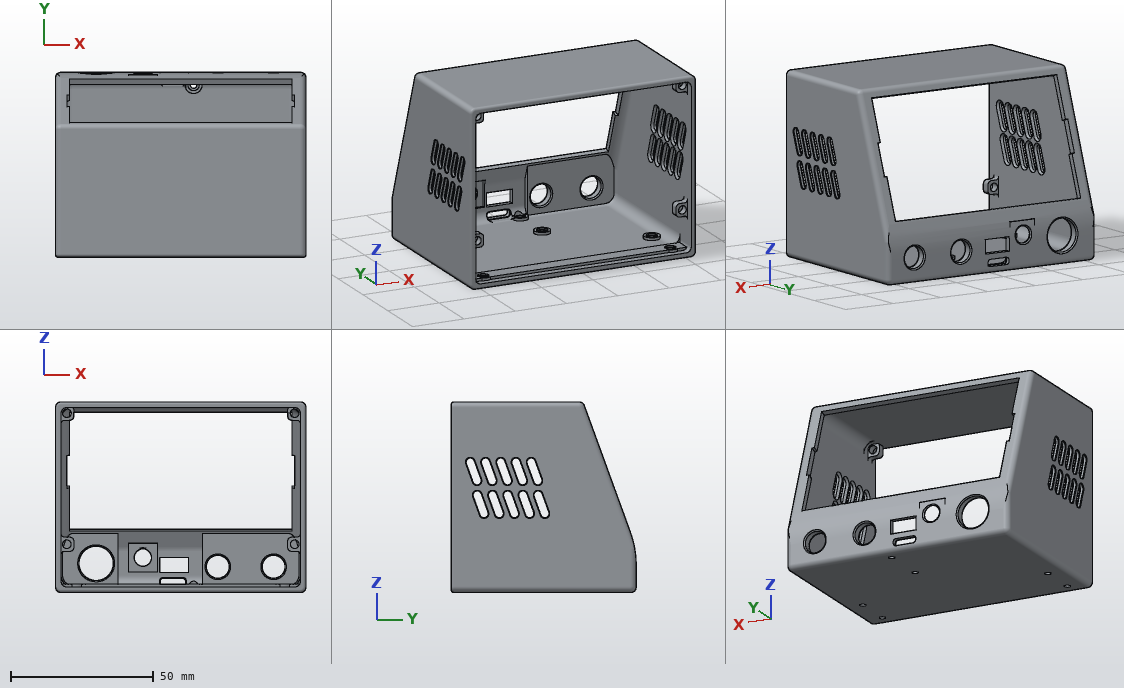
import cadquery as cq
import math


WIDTH = 88.0
DEPTH = 65.0
HEIGHT = 67.0
WALL = 2.0
SLOPE = math.radians(20.0)
BEND_Z = 15.6
BEND_RADIUS = 35.0
OUTER_RADIUS = 2.0
REAR_EDGE_RADIUS = 1.0
INNER_RADIUS = 4.0

MOUTH_DEPTH = 9.0
MOUTH_RADIUS = 2.0
LID_DEPTH = 3.0
SILL_RISE = 1.0

BOSS_X = 40.0
BOSS_REACH = 37.5
BOSS_SIZE = 5.0
BOSS_LENGTH = 3.0
BOSS_HOLE_DIAMETER = 3.0
BOSS_CORNER_RADIUS = 1.5
BOSS_ROOT_RADIUS = 1.2
LOWER_BOSS_Z = 17.0
UPPER_BOSS_Z = 63.0

WINDOW_WIDTH = 78.0
WINDOW_LENGTH = 44.4
WINDOW_Z = 43.2
NOTCH_WIDTH = 80.0
NOTCH_LENGTH = 12.2

PAD_Y = 61.0
PAD_GAP_LEFT = -22.0
PAD_GAP_RIGHT = 7.6
HOLE_CHAMFER = 0.5
PAD_HOLES = [(-29.7, 10.3, 12.0), (13.0, 9.1, 8.0), (32.6, 9.1, 8.0)]
BUTTON_X = -13.3
BUTTON_Z = 12.3
BUTTON_DIAMETER = 6.0
BUTTON_POCKET = 10.2
BUTTON_POCKET_Y = 64.1
SWITCH_X = -2.3
SWITCH_Z = 9.7
SWITCH_SIZE = (10.0, 5.2)
PORT_X = -2.75
PORT_Z = 3.75
PORT_SIZE = (8.8, 2.6)
PORT_RADIUS = 1.0
PORT_CHAMFER = 0.3

BOARD_HOLE_X = 36.5
BOARD_HOLE_Y = (5.5, 20.5)
FRONT_STANDOFF_X = 4.5
FRONT_STANDOFF_Y = (42.7, 60.5)
STANDOFF_DIAMETER = 6.0
STANDOFF_RISE = SILL_RISE
COUNTERBORE_DIAMETER = 4.0
COUNTERBORE_DEPTH = 0.5
SCREW_HOLE_DIAMETER = 2.25

VENT_WIDTH = 2.9
VENT_LENGTH = 9.8
VENT_PITCH = 5.34
VENT_COUNT = 5
VENT_INNER_CHAMFER = 0.8
VENT_OUTER_CHAMFER = 0.25
VENT_ROWS = [(7.9, 42.55), (10.35, 31.0)]

HALF_WIDTH = WIDTH / 2
INNER_HALF_WIDTH = HALF_WIDTH - WALL
CEILING_Z = HEIGHT - WALL
FLOOR_Z = WALL


def slope_y(z):
    """Y of the outer sloped face at height z."""
    return DEPTH - (z - BEND_Z) * math.tan(SLOPE)


def box(x0, x1, y0, y1, z0, z1):
    return cq.Workplane("XY").box(x1 - x0, y1 - y0, z1 - z0, centered=False).translate((x0, y0, z0))


def y_cylinder(x, z, diameter, y0, y1):
    return cq.Workplane("XZ", origin=(x, y0, z)).circle(diameter / 2).extrude(y0 - y1)


def z_cylinder(x, y, diameter, z0, z1):
    return cq.Workplane("XY", origin=(x, y, z0)).circle(diameter / 2).extrude(z1 - z0)


def profile_corners(inset):
    """Front bottom, bend, front top (y, z) corners of the side profile moved inwards by inset."""
    front = DEPTH - inset
    top = HEIGHT - inset
    bend_z = BEND_Z - inset * math.tan(SLOPE / 2)
    top_front = front - (top - bend_z) * math.tan(SLOPE)
    return (front, inset), (front, bend_z), (top_front, top)


def wedge(inset, bend_radius=None):
    """Prism with the side profile moved inwards by inset, its bend sharp or rounded."""
    bottom, bend, top = profile_corners(inset)
    half_width = HALF_WIDTH - inset
    prism = (
        cq.Workplane("YZ", origin=(-half_width, 0, 0))
        .polyline([(0, inset), bottom, bend, top, (0, top[1])])
        .close()
        .extrude(2 * half_width)
    )
    if bend_radius is None:
        return prism
    return prism.edges(cq.selectors.NearestToPointSelector((0, *bend))).fillet(bend_radius)


def rounded_wedge(inset, bend_radius, radius):
    """Open-backed wedge whose edges, apart from the bend and the back face, are rounded."""
    body = wedge(inset)
    side_edges = body.faces("<X or >X").edges().vals()
    cross_edges = body.edges("|X").edges("<Z or >Z").vals()
    edges = [e for e in side_edges + cross_edges if e.Center().y > radius / 2]
    rounded = body.newObject(edges).fillet(radius)
    return rounded.intersect(wedge(inset, bend_radius))


def outer_body():
    body = rounded_wedge(0, BEND_RADIUS, OUTER_RADIUS)
    return body.faces("<Y").edges().fillet(REAR_EDGE_RADIUS)


def mouth():
    """Square-cornered widening of the cavity at the back opening."""
    return box(
        -INNER_HALF_WIDTH, INNER_HALF_WIDTH, 0, MOUTH_DEPTH, FLOOR_Z, CEILING_Z
    ).edges("|Y").fillet(MOUTH_RADIUS)


def cavity():
    return rounded_wedge(WALL, INNER_RADIUS, INNER_RADIUS).union(mouth())


def front_pads():
    left = box(-HALF_WIDTH, PAD_GAP_LEFT, PAD_Y, DEPTH, 0, HEIGHT)
    right = box(PAD_GAP_RIGHT, HALF_WIDTH, PAD_Y, DEPTH, 0, HEIGHT)
    return left.union(right)


def sill():
    return box(
        -INNER_HALF_WIDTH, INNER_HALF_WIDTH, LID_DEPTH, MOUTH_DEPTH, FLOOR_Z, FLOOR_Z + SILL_RISE
    )


def boss_flare(edge_z, direction):
    """Concave rounding between a right-hand boss and its wall; direction +1 is above, -1 below."""
    radius = BOSS_ROOT_RADIUS
    far_z = edge_z + direction * radius
    back = LID_DEPTH + BOSS_LENGTH
    block = box(
        INNER_HALF_WIDTH - radius, INNER_HALF_WIDTH, LID_DEPTH, back, min(edge_z, far_z), max(edge_z, far_z)
    )
    return block.cut(y_cylinder(INNER_HALF_WIDTH - radius, far_z, 2 * radius, LID_DEPTH, back))


def bosses():
    """Four drilled lid bosses standing off the side walls, the upper pair joined to the ceiling."""
    back = LID_DEPTH + BOSS_LENGTH
    right_side = boss_flare(LOWER_BOSS_Z + BOSS_SIZE / 2, 1)
    for z in (LOWER_BOSS_Z, UPPER_BOSS_Z):
        low = z - BOSS_SIZE / 2
        post = box(BOSS_REACH, INNER_HALF_WIDTH + WALL / 2, LID_DEPTH, back, low, low + BOSS_SIZE)
        post = post.edges("|Y and <X").fillet(BOSS_CORNER_RADIUS)
        hole = y_cylinder(BOSS_X, z, BOSS_HOLE_DIAMETER, LID_DEPTH, back)
        right_side = right_side.union(post).union(boss_flare(low, -1)).cut(hole)
    return right_side.union(right_side.mirror("YZ"))


def window():
    """Display opening with a notch in each side, cut square to the sloped face."""
    face = cq.Plane(
        origin=(0, slope_y(WINDOW_Z), WINDOW_Z),
        xDir=(1, 0, 0),
        normal=(0, math.cos(SLOPE), math.sin(SLOPE)),
    )
    reach = 2 * WALL
    opening = cq.Workplane(face).rect(WINDOW_WIDTH, WINDOW_LENGTH).extrude(reach, both=True)
    notches = cq.Workplane(face).rect(NOTCH_WIDTH, NOTCH_LENGTH).extrude(reach, both=True)
    return opening.union(notches)


def pierced_front(body):
    """Cut the round front holes and bevel their outer rims, which follow the bend."""
    for x, z, diameter in PAD_HOLES + [(BUTTON_X, BUTTON_Z, BUTTON_DIAMETER)]:
        body = body.cut(y_cylinder(x, z, diameter, DEPTH / 2, DEPTH))
        reach = diameter / 2 + HOLE_CHAMFER / 2
        rim = cq.selectors.BoxSelector(
            (x - reach, PAD_Y, z - reach), (x + reach, DEPTH + WALL, z + reach), boundingbox=True
        )
        body = body.edges(rim).chamfer(HOLE_CHAMFER)
    return body


def pad_bevels():
    bevels = cq.Workplane("XY")
    for x, z, diameter in PAD_HOLES:
        rim = diameter / 2 + HOLE_CHAMFER
        bevel = cq.Workplane("XZ", origin=(x, PAD_Y, z)).circle(rim).extrude(-HOLE_CHAMFER, taper=45)
        bevels = bevels.union(bevel)
    return bevels


def panel_cut(x, z, width, height, y0):
    return box(x - width / 2, x + width / 2, y0, DEPTH, z - height / 2, z + height / 2)


def rounded_port(growth, y0, y1):
    half_x = PORT_SIZE[0] / 2 + growth
    half_z = PORT_SIZE[1] / 2 + growth
    block = box(PORT_X - half_x, PORT_X + half_x, y0, y1, PORT_Z - half_z, PORT_Z + half_z)
    return block.edges("|Y").fillet(PORT_RADIUS + growth)


def centre_cuts():
    """Push button, switch and port openings between the two pads."""
    pocket = box(
        BUTTON_X - BUTTON_POCKET / 2, BUTTON_X + BUTTON_POCKET / 2,
        DEPTH - 2 * WALL, BUTTON_POCKET_Y,
        BUTTON_Z - BUTTON_POCKET / 2, BUTTON_Z + BUTTON_POCKET / 2,
    )
    switch = panel_cut(SWITCH_X, SWITCH_Z, *SWITCH_SIZE, PAD_Y)
    port = rounded_port(0, DEPTH - WALL - INNER_RADIUS, DEPTH)
    port = port.union(rounded_port(PORT_CHAMFER, DEPTH - WALL - INNER_RADIUS, DEPTH - WALL))
    return pocket.union(switch).union(port)


def standoff_points():
    board = [(side * BOARD_HOLE_X, y) for side in (-1, 1) for y in BOARD_HOLE_Y]
    return board + [(FRONT_STANDOFF_X, y) for y in FRONT_STANDOFF_Y]


def standoffs():
    group = cq.Workplane("XY")
    for x, y in standoff_points():
        group = group.union(z_cylinder(x, y, STANDOFF_DIAMETER, WALL / 2, FLOOR_Z + STANDOFF_RISE))
    return group


def standoff_holes():
    """Counterbored screw holes, open above so that they also clear the front floor fillet."""
    holes = cq.Workplane("XY")
    top = FLOOR_Z + STANDOFF_RISE
    for x, y in standoff_points():
        screw = z_cylinder(x, y, SCREW_HOLE_DIAMETER, 0, top)
        counterbore = z_cylinder(x, y, COUNTERBORE_DIAMETER, top - COUNTERBORE_DEPTH, FLOOR_Z + INNER_RADIUS)
        holes = holes.union(screw).union(counterbore)
    return holes


def vents():
    """Two staggered rows of slots, parallel to the display slope, through both side walls."""
    tilt = 90 + math.degrees(SLOPE)
    points = [(y + i * VENT_PITCH, z) for y, z in VENT_ROWS for i in range(VENT_COUNT)]

    def slots(x, growth, length, taper):
        plane = cq.Workplane("YZ", origin=(x, 0, 0)).pushPoints(points)
        return plane.slot2D(VENT_LENGTH + growth, VENT_WIDTH + growth, tilt).extrude(length, taper=taper)

    right = slots(INNER_HALF_WIDTH, 0, WALL, 0)
    right = right.union(slots(INNER_HALF_WIDTH, 2 * VENT_INNER_CHAMFER, VENT_INNER_CHAMFER, 45))
    right = right.union(slots(HALF_WIDTH, 2 * VENT_OUTER_CHAMFER, -VENT_OUTER_CHAMFER, 45))
    return right.union(right.mirror("YZ"))


result = (
    pierced_front(outer_body()).cut(cavity().cut(front_pads()))
    .union(sill())
    .union(bosses())
    .union(standoffs())
    .cut(window())
    .cut(pad_bevels())
    .cut(centre_cuts())
    .cut(standoff_holes())
    .cut(vents())
)